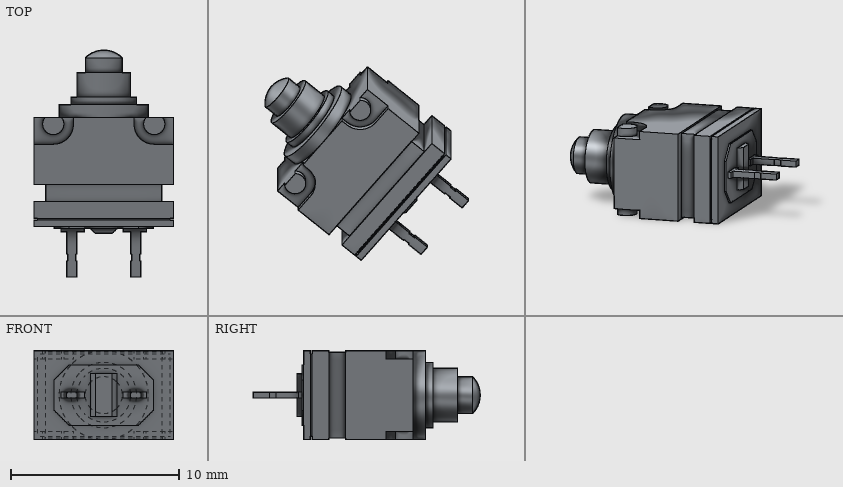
import cadquery as cq


case_width = 8.3
case_height = 5.3
case_end_y = -6.5

groove_start_y = -4.0
groove_end_y = -5.0
groove_core_width = 6.9
groove_core_height = 5.1

parting_start_y = -6.0
parting_length = 0.1
parting_depth = 0.2

flange_diameter = case_height
flange_length = 0.75

pocket_width = 2.35
pocket_length = 1.6
pocket_depth = 0.5
pocket_corner_radius = 1.2
boss_diameter = 1.26
boss_x = 3.0
boss_y = -0.4

pad_width = 5.9
pad_height = 3.6
pad_corner = 0.9
pad_end_y = -6.6

ridge_foot_width = 1.6
ridge_top_width = 1.0
ridge_height = 2.55
ridge_end_y = -6.9

terminal_x = 1.9
terminal_thickness = 0.37
terminal_width = 0.6
terminal_end_y = -9.5
shoulder_x = 1.85
shoulder_width = 1.4
shoulder_end_y = -6.8
notch_start_y = -8.13
notch_end_y = -8.53
notch_depth = 0.06

collar_radius = 1.95
collar_end_y = 1.2
sleeve_radius = 1.6
sleeve_end_y = 2.65
button_radius = 1.1
button_end_y = 3.54
tip_y = 4.0


def block(width, height, start_y, end_y, center_x=0):
    """Box centred on Z = 0, spanning start_y to end_y."""
    center_y = (start_y + end_y) / 2
    length = abs(end_y - start_y)
    return cq.Workplane("XY").box(width, length, height).translate((center_x, center_y, 0))


def make_case_block():
    parting_end_y = parting_start_y - parting_length
    parting_width = case_width - 2 * parting_depth
    parting_height = case_height - 2 * parting_depth
    return (
        block(case_width, case_height, 0, groove_start_y)
        .union(block(groove_core_width, groove_core_height, groove_start_y, groove_end_y))
        .union(block(case_width, case_height, groove_end_y, parting_start_y))
        .union(block(parting_width, parting_height, parting_start_y, parting_end_y))
        .union(block(case_width, case_height, parting_end_y, case_end_y))
    )


def make_pocket(side_x, side_z):
    """Cutter for one corner pocket; it leaves the boss, trimmed by the +Y face, standing."""
    floor_z = case_height / 2 - pocket_depth
    wall_x = case_width / 2 - pocket_width
    recess = (
        cq.Workplane("XY")
        .workplane(offset=floor_z)
        .moveTo(wall_x, 0)
        .lineTo(wall_x, pocket_corner_radius - pocket_length)
        .radiusArc((wall_x + pocket_corner_radius, -pocket_length), -pocket_corner_radius)
        .lineTo(case_width / 2, -pocket_length)
        .lineTo(case_width / 2, 0)
        .close()
        .extrude(pocket_depth)
    )
    boss = (
        cq.Workplane("XY")
        .workplane(offset=floor_z)
        .center(boss_x, boss_y)
        .circle(boss_diameter / 2)
        .extrude(pocket_depth)
    )
    pocket = recess.cut(boss)
    if side_x < 0:
        pocket = pocket.mirror("YZ")
    if side_z < 0:
        pocket = pocket.mirror("XY")
    return pocket


def make_flange():
    return cq.Workplane("XZ").circle(flange_diameter / 2).extrude(-flange_length)


def make_pad():
    return block(pad_width, pad_height, case_end_y, pad_end_y).edges("|Y").chamfer(pad_corner)


def make_ridge():
    return (
        cq.Workplane("XY")
        .polyline([
            (-ridge_foot_width / 2, pad_end_y),
            (-ridge_top_width / 2, ridge_end_y),
            (ridge_top_width / 2, ridge_end_y),
            (ridge_foot_width / 2, pad_end_y),
        ])
        .close()
        .extrude(ridge_height / 2, both=True)
    )


def make_terminal(side_x):
    x = side_x * terminal_x
    waist_width = terminal_width - 2 * notch_depth
    shoulder = block(shoulder_width, terminal_thickness, pad_end_y, shoulder_end_y, side_x * shoulder_x)
    return (
        shoulder
        .union(block(terminal_width, terminal_thickness, shoulder_end_y, notch_start_y, x))
        .union(block(waist_width, terminal_thickness, notch_start_y, notch_end_y, x))
        .union(block(terminal_width, terminal_thickness, notch_end_y, terminal_end_y, x))
    )


def make_case():
    body = make_case_block()
    for side_x in (-1, 1):
        for side_z in (-1, 1):
            body = body.cut(make_pocket(side_x, side_z))
    body = body.union(make_flange()).union(make_pad()).union(make_ridge())
    for side_x in (-1, 1):
        body = body.union(make_terminal(side_x))
    return body


def make_plunger():
    """Collar, sleeve and domed button turned about the Y axis, resting on the flange."""
    dome_height = tip_y - button_end_y
    dome_radius = (button_radius**2 + dome_height**2) / (2 * dome_height)
    return (
        cq.Workplane("XY")
        .moveTo(0, flange_length)
        .lineTo(collar_radius, flange_length)
        .lineTo(collar_radius, collar_end_y)
        .lineTo(sleeve_radius, collar_end_y)
        .lineTo(sleeve_radius, sleeve_end_y)
        .lineTo(button_radius, sleeve_end_y)
        .lineTo(button_radius, button_end_y)
        .radiusArc((0, tip_y), -dome_radius)
        .close()
        .revolve(360, (0, 0, 0), (0, 1, 0))
    )


case = make_case()
plunger = make_plunger()

result = cq.Compound.makeCompound([case.solids().val(), plunger.solids().val()])